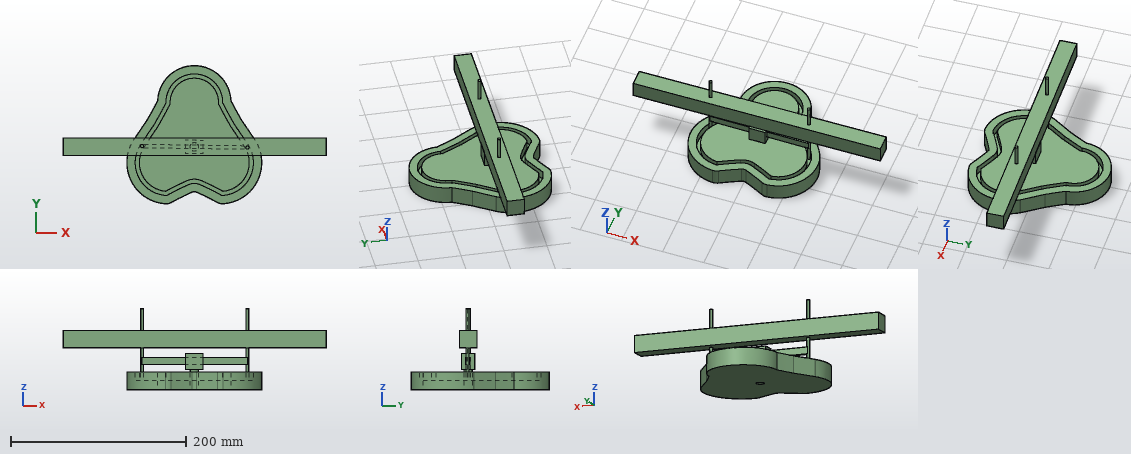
import cadquery as cq
import math

pin_spacing = 120.0
nose_radius = 30.0
nose_center_y = 50.7
nose_end_angle = 58.8
lobe_radius = 35.0
flank_arcs = 2
hollow_arcs = 3

cam_height = 20.5
groove_width = 4.8
groove_depth = 10.0
rim_width = 9.5
pivot_hole_diameter = 10.0

post_diameter = 9.5
block_length = 20.0
block_width = 15.0
block_bottom = 23.0
block_height = 18.3

beam_length = 300.0
beam_side = 20.0
beam_bottom = 47.7
pin_diameter = 3.5
pin_top = 92.5
link_thickness = 4.0
link_height = 8.0
link_bottom = 28.8
swing_angle = -0.8

half_chord = pin_spacing / 2


def polar_point(radius, angle):
    """Point at a polar radius and an angle in degrees."""
    return (radius * math.cos(math.radians(angle)), radius * math.sin(math.radians(angle)))


def circle_reach(center, radius, angle):
    """Distance from the pivot to the far side of a circle, along a polar angle."""
    ux, uy = polar_point(1, angle)
    along = ux * center[0] + uy * center[1]
    across = ux * center[1] - uy * center[0]
    return along + math.sqrt(radius**2 - across**2)


def circle_center(start, end, radius):
    """Centre of a circle through two points, on the right of the way from start to end."""
    dx, dy = end[0] - start[0], end[1] - start[1]
    chord = math.hypot(dx, dy)
    height = math.sqrt(radius**2 - chord**2 / 4)
    return (
        (start[0] + end[0]) / 2 + height * dy / chord,
        (start[1] + end[1]) / 2 - height * dx / chord,
    )


def conjugate_points(center, radius, first_angle, last_angle, arcs):
    """Ends and middles of the arcs that complete the constant chord opposite a circle."""
    points = []
    steps = 2 * arcs
    for step in range(steps + 1):
        angle = first_angle + (last_angle - first_angle) * step / steps
        reach = pin_spacing - circle_reach(center, radius, angle + 180)
        points.append(polar_point(reach, angle))
    return points


def mirrored(point):
    """Mirror image of a point in the YZ plane."""
    return (-point[0], point[1])


nose_center = (0, nose_center_y)
nose_top = (0, nose_center_y + nose_radius)
nose_reach = circle_reach(nose_center, nose_radius, nose_end_angle)
nose_corner = polar_point(nose_reach, nose_end_angle)
lobe_corner = polar_point(pin_spacing - nose_reach, -nose_end_angle)
waist = (half_chord, 0)
lobe_center = circle_center(waist, lobe_corner, lobe_radius)
left_lobe_center = mirrored(lobe_center)
lobe_middle = polar_point(
    circle_reach(lobe_center, lobe_radius, -nose_end_angle / 2), -nose_end_angle / 2
)

right_flank = conjugate_points(left_lobe_center, lobe_radius, 0, nose_end_angle, flank_arcs)
left_flank = [mirrored(point) for point in reversed(right_flank)]
hollow = conjugate_points(
    nose_center, nose_radius, 180 + nose_end_angle, 360 - nose_end_angle, hollow_arcs
)


def arc_chain(path, points):
    """Continue a path from the first point by arcs, each through the next two points."""
    for middle, end in zip(points[1::2], points[2::2]):
        path = path.threePointArc(middle, end)
    return path


def groove_center_line():
    """Closed path of the pin axes around the cam."""
    path = cq.Workplane("XY").moveTo(*waist)
    path = arc_chain(path, right_flank).threePointArc(nose_top, mirrored(nose_corner))
    path = arc_chain(path, left_flank).threePointArc(mirrored(lobe_middle), mirrored(lobe_corner))
    path = arc_chain(path, hollow).threePointArc(lobe_middle, waist)
    return path.close()


def cam_prism(offset, height):
    """Prism whose outline lies outside the groove centre line by a given offset."""
    return groove_center_line().offset2D(offset).extrude(height)


groove_floor = cam_height - groove_depth
slide = circle_reach(lobe_center, lobe_radius, swing_angle) - half_chord


def make_cam():
    """Plate with a closed groove for the pins and a bore for the rotor's post."""
    plate = cam_prism(groove_width / 2 + rim_width, cam_height)
    island = cam_prism(-groove_width / 2, groove_depth)
    groove = cam_prism(groove_width / 2, groove_depth).cut(island)
    bore = cq.Workplane("XY").circle(pivot_hole_diameter / 2).extrude(cam_height)
    return plate.cut(groove.translate((0, 0, groove_floor))).cut(bore)


def swung(shape):
    """Turn a shape about the pivot to the present swing angle."""
    return shape.rotate((0, 0, 0), (0, 0, 1), swing_angle)


def make_link():
    """Flat bar between the pin axes, shifted along itself by the cam."""
    return swung(
        cq.Workplane("XY", origin=(slide, 0, link_bottom))
        .rect(pin_spacing, link_thickness)
        .extrude(link_height)
    )


def make_rotor():
    """Block on a post, with a slot that the link slides through."""
    post = cq.Workplane("XY").circle(post_diameter / 2).extrude(block_bottom)
    block = (
        cq.Workplane("XY", origin=(0, 0, block_bottom))
        .rect(block_length, block_width)
        .extrude(block_height)
    )
    return post.union(swung(block)).cut(make_link())


def make_follower():
    """Beam carried by two pins that run in the groove, tied together by the link."""
    beam = (
        cq.Workplane("XY", origin=(slide, 0, beam_bottom))
        .rect(beam_length, beam_side)
        .extrude(beam_side)
    )
    pins = swung(
        cq.Workplane("XY", origin=(0, 0, groove_floor))
        .pushPoints([(slide - half_chord, 0), (slide + half_chord, 0)])
        .circle(pin_diameter / 2)
        .extrude(pin_top - groove_floor)
    )
    return beam.union(pins).union(make_link())


cam = make_cam().solids()
rotor = make_rotor().solids()
follower = make_follower().solids()

result = cq.Compound.makeCompound([cam.val(), rotor.val(), follower.val()])